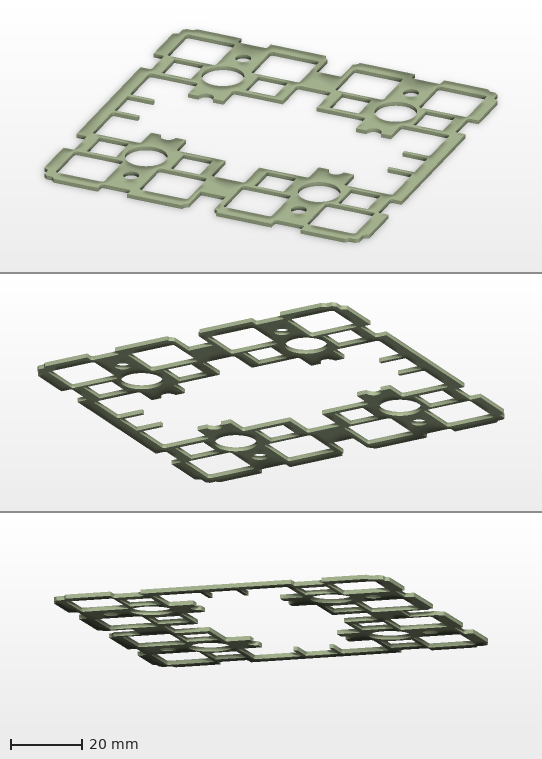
import cadquery as cq

LENGTH = 100.0
WIDTH = 99.2
THICKNESS = 1.2
HALF_LENGTH = LENGTH / 2
HALF_WIDTH = WIDTH / 2

PITCH = 25.8
INNER_CELL = PITCH / 2
OUTER_CELL = 1.5 * PITCH
CELL_X = 15.0
CELL_Y = 14.0
CELL_RADIUS = 0.8
RIB = 1.2

SMALL_WINDOW = 9.1

LARGE_HOLE = 12.0
LARGE_HOLE_OFFSET = 26.6
SCREW_HOLE = 4.5
SCREW_HOLE_Y = 38.8

NOTCH_LENGTH = 9.0
NOTCH_CENTER = 26.7
NOTCH_RADIUS = 0.6
SIDE_NOTCH_DEPTH = 3.3
END_NOTCH_DEPTH = 2.6

BRIDGE_BOTTOM = 30.0
BRIDGE_TOP = 39.8
BRIDGE_HALF_SPAN = 5.2
SLOT_HALF_WIDTH = 3.9
SLOT_LIP = 0.8
SLOT_LIP_TAPER = 1.0

FINGER_TIP = 38.4

CORNER_STEP_X = 1.6
CORNER_STEP_Y = 1.0
CORNER_REACH = 5.2
CORNER_CHAMFER = 0.9

RAIL_X = OUTER_CELL + CELL_X / 2
TONGUE_END = INNER_CELL
TONGUE_INNER = INNER_CELL + CELL_X / 2
CELL_TOP = INNER_CELL + CELL_Y / 2
CELL_BOTTOM = INNER_CELL - CELL_Y / 2
SMALL_WINDOW_Y = OUTER_CELL - CELL_Y / 2 - RIB - SMALL_WINDOW / 2


def prism(sketch):
    return sketch.extrude(THICKNESS)


def block(x, y, size_x, size_y):
    return prism(cq.Workplane().center(x, y).rect(size_x, size_y))


def rounded_block(x, y, size_x, size_y, radius):
    return block(x, y, size_x, size_y).edges("|Z").fillet(radius)


def cylinder(x, y, diameter):
    return prism(cq.Workplane().center(x, y).circle(diameter / 2))


def quarter_blank():
    """Outline of the first quadrant, with its stepped corner and widened slot mouth."""
    step_x = HALF_LENGTH - CORNER_STEP_X
    step_y = HALF_WIDTH - CORNER_STEP_Y
    reach_x = HALF_LENGTH - CORNER_REACH
    reach_y = HALF_WIDTH - CORNER_REACH
    points = [
        (0, 0),
        (HALF_LENGTH, 0),
        (HALF_LENGTH, reach_y),
        (step_x, reach_y + CORNER_CHAMFER),
        (step_x, step_y - CORNER_CHAMFER),
        (step_x - CORNER_CHAMFER, step_y),
        (reach_x + CORNER_CHAMFER, step_y),
        (reach_x, HALF_WIDTH),
        (BRIDGE_HALF_SPAN, HALF_WIDTH),
        (BRIDGE_HALF_SPAN, HALF_WIDTH - SLOT_LIP),
        (SLOT_HALF_WIDTH, HALF_WIDTH - SLOT_LIP - SLOT_LIP_TAPER),
        (SLOT_HALF_WIDTH, BRIDGE_TOP),
        (0, BRIDGE_TOP),
    ]
    return prism(cq.Workplane().polyline(points).close())


def central_opening():
    """Central opening, leaving the fingers, tongues and bridge of the first quadrant standing."""
    between_fingers = block(0, 0, 2 * RAIL_X, 2 * (CELL_BOTTOM - RIB))
    between_finger_tips = block(0, 0, 2 * FINGER_TIP, 2 * TONGUE_END)
    between_tongues = rounded_block(0, 0, 2 * TONGUE_INNER, 2 * CELL_TOP, CELL_RADIUS)
    bay = rounded_block(0, 0, 2 * BRIDGE_HALF_SPAN, 2 * BRIDGE_BOTTOM, CELL_RADIUS)
    opening = rounded_block(OUTER_CELL, INNER_CELL, CELL_X, CELL_Y, CELL_RADIUS)
    for area in (between_fingers, between_finger_tips, between_tongues, bay):
        opening = opening.union(area)
    return opening


def edge_notches():
    side = rounded_block(HALF_LENGTH, NOTCH_CENTER, 2 * SIDE_NOTCH_DEPTH, NOTCH_LENGTH, NOTCH_RADIUS)
    end = rounded_block(NOTCH_CENTER, HALF_WIDTH, NOTCH_LENGTH, 2 * END_NOTCH_DEPTH, NOTCH_RADIUS)
    return side.union(end)


def quarter():
    body = quarter_blank().cut(central_opening()).cut(edge_notches())
    for x in (INNER_CELL, OUTER_CELL):
        body = body.cut(rounded_block(x, OUTER_CELL, CELL_X, CELL_Y, CELL_RADIUS))
        body = body.cut(block(x, SMALL_WINDOW_Y, SMALL_WINDOW, SMALL_WINDOW))
    body = body.cut(cylinder(LARGE_HOLE_OFFSET, LARGE_HOLE_OFFSET, LARGE_HOLE))
    for y in (TONGUE_END, SCREW_HOLE_Y):
        body = body.cut(cylinder(PITCH, y, SCREW_HOLE))
    return body


half = quarter().union(quarter().mirror("YZ"))
result = half.union(half.mirror("XZ"))